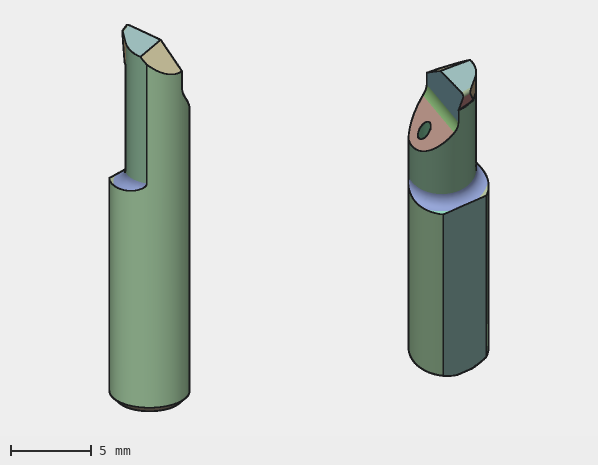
import cadquery as cq
import math

overall_length = 25.0
shank_radius = 2.5
flat_x = -1.95
shank_height = 15.05
end_chamfer = 0.48

neck_radius = 2.15
neck_x = 0.82
neck_fillet = 0.75

rake_y = 0.08
slope_low_z = 19.05
slope_angle = 50.0
rake_fillet = 1.25

head_bottom_z = 23.08
nose_radius = 0.2
nose_tip_x = -1.9
flank_angle = 19.0
flank_relief = 0.2
side_tangent_angle = 226.4
top_angle = 7.0
top_relief = 0.14
chamfer_start_x = 0.82
chamfer_relief = 0.09

hole_diameter = 0.8
hole_x = 0.75
hole_y = 1.3

margin = 10.0
cutter_width = 3 * overall_length


def trim(body, point, normal):
    """Remove everything on the side of a plane that its normal points to."""
    cutter = cq.Workplane(cq.Plane(origin=point, normal=normal)).rect(cutter_width, cutter_width).extrude(margin)
    return body.cut(cutter)


def bar(height):
    """Chamfered round bar, before the flat is cut."""
    return cq.Workplane("XY").circle(shank_radius).extrude(height).faces("<Z").chamfer(end_chamfer)


def make_neck():
    """Neck cylinder with a concave foot that flares onto the shank."""
    foot_radius = neck_radius + neck_fillet
    bend = neck_fillet * math.sqrt(0.5)
    foot_top = shank_height + neck_fillet
    profile = (
        cq.Workplane("XZ", origin=(neck_x, 0, 0))
        .moveTo(0, shank_height)
        .lineTo(foot_radius, shank_height)
        .threePointArc((foot_radius - bend, foot_top - bend), (neck_radius, foot_top))
        .lineTo(neck_radius, overall_length)
        .lineTo(0, overall_length)
        .close()
    )
    return profile.revolve(360, (0, 0, 0), (0, 1, 0)).intersect(bar(overall_length))


def make_nose_block():
    """Block cut by the flank and top faces, with their common edge rounded to the nose radius."""
    nose_x = nose_tip_x + nose_radius
    nose_z = overall_length - nose_radius
    flank = math.radians(flank_angle)
    top = math.radians(top_angle)
    flank_point = (nose_x - nose_radius * math.cos(flank), rake_y, nose_z - nose_radius * math.sin(flank))
    top_point = (nose_x + nose_radius * math.sin(top), rake_y, nose_z + nose_radius * math.cos(top))
    block = cq.Workplane("XY", origin=(0, 0, head_bottom_z)).rect(margin, margin).extrude(margin)
    block = trim(block, flank_point, (-math.cos(flank), -flank_relief * math.cos(flank), -math.sin(flank)))
    block = trim(block, top_point, (math.sin(top), -top_relief, math.cos(top)))
    block = block.faces("<X").edges(">Z").fillet(nose_radius)
    return trim(block, (0, rake_y, 0), (0, 1, 0))


def make_head():
    """Head outlined by the neck circle and a side face tangent to it, cut by the nose faces."""
    side = math.radians(side_tangent_angle)
    tangent_x = neck_x + neck_radius * math.cos(side)
    tangent_y = neck_radius * math.sin(side)
    side_reach = (rake_y - tangent_y) / math.cos(side)
    corner_x = tangent_x - side_reach * math.sin(side)
    base = cq.Workplane("XY", origin=(0, 0, head_bottom_z))
    wedge = (
        base.moveTo(tangent_x, tangent_y)
        .lineTo(corner_x, rake_y)
        .lineTo(neck_x, rake_y)
        .lineTo(neck_x, 0)
        .close()
        .extrude(margin)
    )
    column = base.center(neck_x, 0).circle(neck_radius).extrude(margin)
    outline = column.union(wedge).intersect(bar(overall_length + margin))
    return outline.intersect(make_nose_block())


def trim_end_chamfer(body):
    """Slope the top down toward the +X side, away from the cutting nose."""
    top = math.radians(top_angle)
    nose_x = nose_tip_x + nose_radius
    crown_z = overall_length - nose_radius + nose_radius / math.cos(top)
    chamfer_z = crown_z - (chamfer_start_x - nose_x) * math.tan(top)
    return trim(body, (chamfer_start_x, rake_y, chamfer_z), (1, -chamfer_relief, 1))


def make_rake_cutter():
    """Space in front of the rake face, down to the curved slope."""
    slope = math.tan(math.radians(slope_angle))
    bend_z = slope_low_z + (neck_radius - rake_y) * slope
    outer_y = neck_radius + neck_fillet
    top_z = overall_length + margin
    cutter = (
        cq.Workplane("YZ", origin=(-margin, 0, 0))
        .moveTo(rake_y, top_z)
        .lineTo(rake_y, bend_z)
        .lineTo(outer_y, slope_low_z - (outer_y - neck_radius) * slope)
        .lineTo(outer_y, top_z)
        .close()
        .extrude(2 * margin)
    )
    bend = cq.selectors.NearestToPointSelector((0, rake_y, bend_z))
    return cutter.edges(bend).fillet(rake_fillet)


neck = make_neck().cut(make_rake_cutter())
neck = neck.intersect(cq.Workplane("XY").rect(margin, margin).extrude(head_bottom_z))
result = bar(shank_height).union(neck).union(make_head())
result = trim_end_chamfer(result)
result = trim(result, (flat_x, 0, 0), (-1, 0, 0))
result = result.cut(cq.Workplane("XY").center(hole_x, hole_y).circle(hole_diameter / 2).extrude(overall_length))